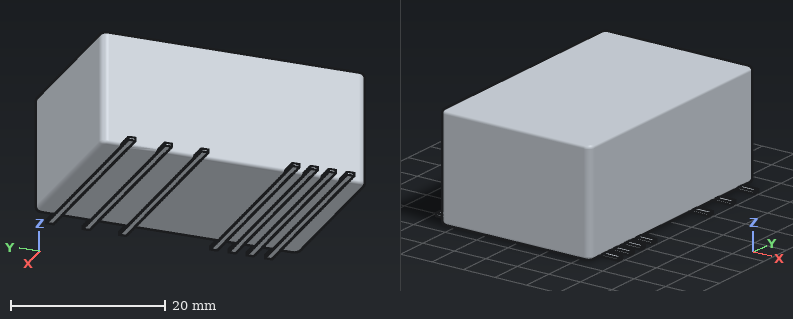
import cadquery as cq

case_width = 24.05
case_length = 37.0
case_bottom = 0.1
total_height = 16.1
corner_radius = 1.0
edge_radius = 0.5

lead_span = 28.9
lead_width = 1.0
lead_thickness = 0.4
lead_row_length = 30.5
lead_slots = [0, 1, 2, 3, 8, 10, 12]
last_slot = lead_slots[-1]
lead_pitch = lead_row_length / last_slot


def make_case():
    """Box with rounded upright corners and smaller rounds along top and bottom."""
    case_height = total_height - case_bottom
    case = cq.Workplane("XY").workplane(offset=case_bottom)
    case = case.rect(case_width, case_length).extrude(case_height)
    return case.edges("|Z").fillet(corner_radius).faces("<Z or >Z").edges().fillet(edge_radius)


def make_lead_pair(slot):
    """One strip crossing the case, showing as a lead on each side."""
    lead_y = (slot - last_slot / 2) * lead_pitch
    strip = cq.Workplane("XY").center(0, lead_y).rect(lead_span, lead_width)
    return strip.extrude(lead_thickness)


result = make_case()
for slot in lead_slots:
    result = result.union(make_lead_pair(slot))